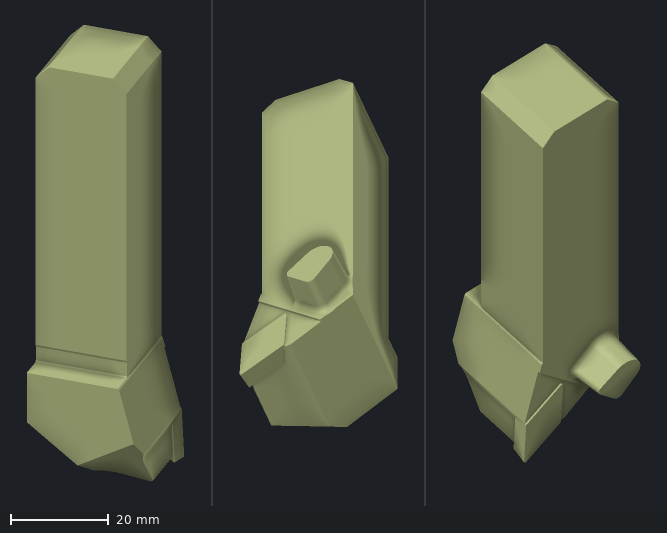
import cadquery as cq
import math


SHANK = 20.0
TOTAL_LENGTH = 96.2
END_CHAMFER = 3.0

HEAD_DEPTH = 25.0
LEDGE_Z = 27.2
SHOULDER = 0.3
HEAD_CORNER_Z = 15.8
FLANK_ANGLE = 15.0
UNDERSIDE_ANGLE = 35.5

UNDERCUT_DEPTH = 0.2
UNDERCUT_HEIGHT = 4.0
UNDERCUT_TOP_RUN = 0.5
UNDERCUT_BOTTOM_RUN = 0.4

BEVEL_POINT = (11.5, 8.1)
BEVEL_EDGE_ANGLE = 30.5
BEVEL_SLOPE = 40.0
BEVEL_REACH = 24.0

INSERT_THICKNESS = 4.0
INSERT_CIRCLE = 9.5
INSERT_TIP_ANGLE = 55.0
INSERT_RELIEF = 7.0
INSERT_NOSE = 0.4
INSERT_FOOT_NOSE = 0.1
LEAD_ANGLE = 93.0
TIP_X = 25.0

SEAT_INSET = 0.9
SEAT_LENGTH = 6.4
SEAT_RUNOUT = 7.7
SEAT_RUNOUT_ANGLE = 45.0
SEAT_NOSE = 0.5
SEAT_CUT_WIDTH = 2.9
TIP_CLEARANCE = 14.4

BOSS_CENTER = (4.6, 20.5)
BOSS_RADIUS = 4.0
BOSS_AXIS_ANGLE = -44.0
BOSS_SPREAD = 5.5
BOSS_FRONT = 6.9
BOSS_CORNER = 1.3
BOSS_DRAFT = 3.5
BOSS_HEIGHT = 8.6
BOSS_TRIM = 1.0
BOSS_END_TILT = 5.0
BOSS_FILLET = 1.5

RECESS_DEPTH = 0.5
RECESS_POINT = (7.5, 11.0)

BIG = 57.7


def direction(angle):
    """Unit vector in X and Z at an angle from +X toward +Z."""
    return math.cos(math.radians(angle)), math.sin(math.radians(angle))


def step(point, angle, distance):
    """Point at a distance from another point, in X and Z."""
    dx, dz = direction(angle)
    return point[0] + distance * dx, point[1] + distance * dz


HALF_TIP = math.radians(INSERT_TIP_ANGLE / 2)
INSERT_AXIS_ANGLE = LEAD_ANGLE + INSERT_TIP_ANGLE / 2
NOSE_CENTER = (TIP_X - INSERT_NOSE, INSERT_NOSE)
INSERT_CENTER = step(NOSE_CENTER, INSERT_AXIS_ANGLE, (INSERT_CIRCLE / 2 - INSERT_NOSE) / math.sin(HALF_TIP))


def insert_outline(y, inset, nose):
    """Rounded rhombus at height y, drawn in from the top outline by the inset."""
    radius = INSERT_CIRCLE / 2 - inset
    long_half = radius / math.sin(HALF_TIP)
    short_half = radius / math.cos(HALF_TIP)
    corners = [
        step(INSERT_CENTER, INSERT_AXIS_ANGLE, -long_half),
        step(INSERT_CENTER, INSERT_AXIS_ANGLE - 90, short_half),
        step(INSERT_CENTER, INSERT_AXIS_ANGLE, long_half),
        step(INSERT_CENTER, INSERT_AXIS_ANGLE + 90, short_half),
    ]
    wire = cq.Wire.makePolygon([cq.Vector(x, y, z) for x, z in corners], close=True)
    return wire.fillet2D(nose, wire.Vertices())


def make_insert():
    relief = INSERT_THICKNESS * math.tan(math.radians(INSERT_RELIEF))
    top = insert_outline(0, 0, INSERT_NOSE)
    bottom = insert_outline(-INSERT_THICKNESS, relief, INSERT_FOOT_NOSE)
    return cq.Workplane(cq.Solid.makeLoft([top, bottom], True))


def make_shank():
    shank = cq.Workplane("XY").box(SHANK, SHANK, TOTAL_LENGTH - LEDGE_Z, centered=False)
    shank = shank.translate((0, -SHANK, LEDGE_Z))
    shank = shank.edges("|Y and >Z").chamfer(END_CHAMFER)
    floor_y = UNDERCUT_DEPTH - SHANK
    top_z = LEDGE_Z + UNDERCUT_HEIGHT
    undercut = (
        cq.Workplane("YZ")
        .moveTo(-SHANK, LEDGE_Z)
        .lineTo(floor_y, LEDGE_Z + UNDERCUT_BOTTOM_RUN)
        .lineTo(floor_y, top_z - UNDERCUT_TOP_RUN)
        .lineTo(-SHANK, top_z)
        .close()
        .extrude(SHANK)
    )
    return shank.cut(undercut)


def make_head():
    """Pointed head: its flank and its underside run on until they meet."""
    flank_run = math.tan(math.radians(FLANK_ANGLE))
    underside_fall = math.tan(math.radians(UNDERSIDE_ANGLE))
    flank_x = SHANK + SHOULDER
    flank_z = LEDGE_Z - SHOULDER
    point_x = (flank_x + flank_run * (flank_z - HEAD_CORNER_Z)) / (1 - flank_run * underside_fall)
    point_z = HEAD_CORNER_Z - underside_fall * point_x
    return (
        cq.Workplane("XZ")
        .moveTo(0, LEDGE_Z)
        .lineTo(SHANK, LEDGE_Z)
        .lineTo(flank_x, flank_z)
        .lineTo(point_x, point_z)
        .lineTo(0, HEAD_CORNER_Z)
        .close()
        .extrude(HEAD_DEPTH)
    )


def seat_cutter():
    """Material outside both seat edges, with the rounded run-outs and the rounded seat nose."""
    apex_distance = (INSERT_CIRCLE / 2 - SEAT_INSET) / math.sin(HALF_TIP)
    apex = step(INSERT_CENTER, INSERT_AXIS_ANGLE, -apex_distance)

    def runout_point(turn):
        """Point of the run-out arc after a turn: along the edge from the apex, and outward."""
        turn = math.radians(turn)
        return SEAT_LENGTH + SEAT_RUNOUT * math.sin(turn), SEAT_RUNOUT * (1 - math.cos(turn))

    local = {
        "start": runout_point(0),
        "middle": runout_point(SEAT_RUNOUT_ANGLE / 2),
        "end": runout_point(SEAT_RUNOUT_ANGLE),
        "outer": (runout_point(SEAT_RUNOUT_ANGLE)[0], SEAT_CUT_WIDTH),
    }

    def placed(name, edge_angle, outward):
        """Local point on the edge of the given direction; outward is the turn to its outer side."""
        along, out = local[name]
        return step(step(apex, edge_angle, along), edge_angle + outward, out)

    right = {name: placed(name, LEAD_ANGLE, -90) for name in local}
    left = {name: placed(name, LEAD_ANGLE + INSERT_TIP_ANGLE, 90) for name in local}
    beyond = step(apex, INSERT_AXIS_ANGLE, -TIP_CLEARANCE)
    cutter = (
        cq.Workplane("XZ")
        .moveTo(*apex)
        .lineTo(*right["start"])
        .threePointArc(right["middle"], right["end"])
        .lineTo(*right["outer"])
        .lineTo(*beyond)
        .lineTo(*left["outer"])
        .lineTo(*left["end"])
        .threePointArc(left["middle"], left["start"])
        .close()
        .extrude(HEAD_DEPTH)
    )
    nose_edge = cq.selectors.NearestToPointSelector((apex[0], -HEAD_DEPTH / 2, apex[1]))
    return cutter.edges("|Y").edges(nose_edge).fillet(SEAT_NOSE)


def bevel_cutter():
    along_x, along_z = direction(BEVEL_EDGE_ANGLE)
    plane = cq.Plane(
        origin=(BEVEL_POINT[0], -HEAD_DEPTH, BEVEL_POINT[1]),
        xDir=(along_z, 0, -along_x),
        normal=(along_x, 0, along_z),
    )
    height = BEVEL_REACH * math.tan(math.radians(BEVEL_SLOPE))
    return (
        cq.Workplane(plane)
        .polyline([(0, 0), (BEVEL_REACH, 0), (BEVEL_REACH, height)])
        .close()
        .extrude(BIG / 2, both=True)
    )


def recess_cutter():
    """Block whose border lies square to the boss axis, toward the insert."""
    block = cq.Workplane("XY").box(BIG, RECESS_DEPTH, BIG, centered=(False, False, True))
    block = block.rotate((0, 0, 0), (0, 1, 0), -BOSS_AXIS_ANGLE)
    return block.translate((RECESS_POINT[0], -RECESS_DEPTH, RECESS_POINT[1]))


def make_boss():
    """Drafted boss with a round back, spreading sides and a tilted end, flush with the -X side."""
    axis_x, axis_z = direction(BOSS_AXIS_ANGLE)
    base = cq.Plane(
        origin=(BOSS_CENTER[0], 0, BOSS_CENTER[1]), xDir=(axis_x, 0, axis_z), normal=(0, 1, 0)
    )
    spread = math.radians(BOSS_SPREAD)
    back_x = -BOSS_RADIUS * math.sin(spread)
    back_y = BOSS_RADIUS * math.cos(spread)
    front_y = back_y + (BOSS_FRONT - back_x) * math.tan(spread)
    boss = (
        cq.Workplane(base)
        .moveTo(back_x, back_y)
        .threePointArc((-BOSS_RADIUS, 0), (back_x, -back_y))
        .lineTo(BOSS_FRONT, -front_y)
        .lineTo(BOSS_FRONT, front_y)
        .close()
        .extrude(BOSS_HEIGHT + BOSS_TRIM, taper=BOSS_DRAFT)
    )
    for side in (-1, 1):
        corner = base.toWorldCoords((BOSS_FRONT, side * front_y, BOSS_HEIGHT / 2))
        boss = boss.edges(cq.selectors.NearestToPointSelector(corner.toTuple())).fillet(BOSS_CORNER)

    end_back = BOSS_HEIGHT * math.tan(math.radians(BOSS_DRAFT)) - BOSS_RADIUS
    end_plane = cq.Plane(
        origin=base.toWorldCoords((end_back, 0, BOSS_HEIGHT)), xDir=base.xDir, normal=base.zDir
    ).rotated((0, BOSS_END_TILT, 0))
    boss = boss.cut(cq.Workplane(end_plane).box(BIG, BIG, BIG, centered=(True, True, False)))

    plate = cq.Workplane(base).box(BIG, BIG, HEAD_DEPTH, centered=(True, True, False))
    plate = plate.translate((0, -HEAD_DEPTH, 0))
    reach = BOSS_RADIUS + BOSS_FRONT
    root_box = cq.selectors.BoxSelector(
        (BOSS_CENTER[0] - reach, -BOSS_FILLET, BOSS_CENTER[1] - reach),
        (BOSS_CENTER[0] + reach, BOSS_FILLET, BOSS_CENTER[1] + reach),
    )
    filleted = plate.union(boss).edges(root_box).fillet(BOSS_FILLET)
    keep = cq.Workplane("XY").box(BIG, 2 * BOSS_HEIGHT, BIG, centered=False)
    return filleted.intersect(keep)


def make_holder(insert):
    head = make_head().cut(seat_cutter()).cut(bevel_cutter()).cut(recess_cutter())
    return head.union(make_shank()).union(make_boss()).cut(insert)


insert = make_insert()
holder = make_holder(insert)
result = cq.Compound.makeCompound([holder.solids().val(), insert.val()])